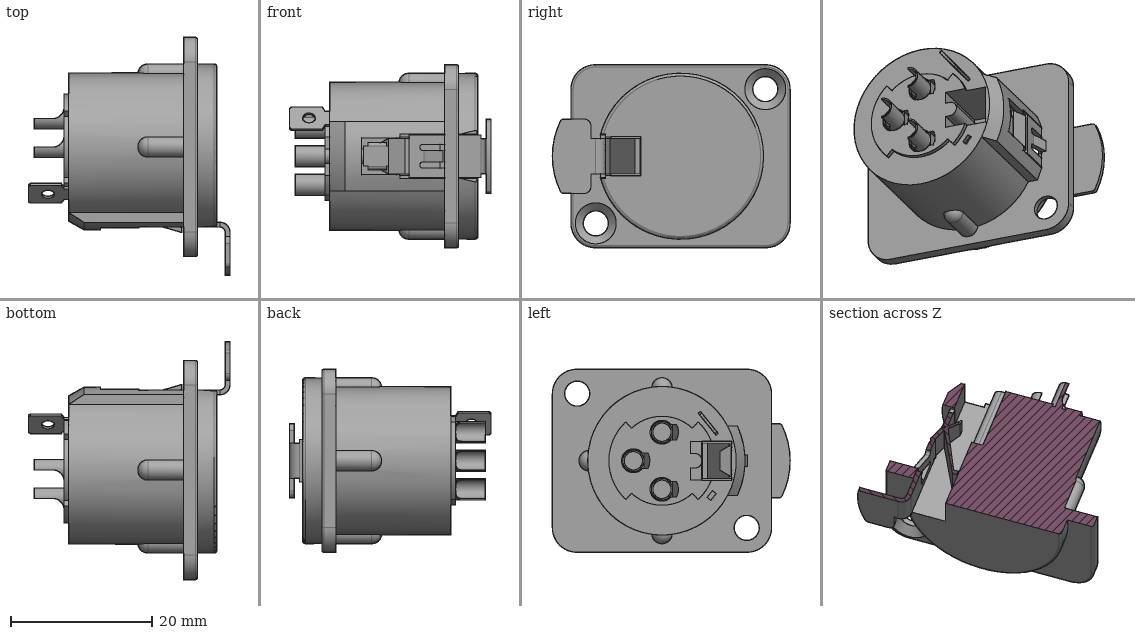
import cadquery as cq
import math


plate_width = 31.05
plate_height = 25.93
plate_thickness = 2.0
plate_corner_radius = 3.5
plate_edge_radius = 0.35
screw_hole_diameter = 3.5
screw_head_diameter = 5.8
screw_sink_angle = 90
screw_hole_y = 12.0
screw_hole_z = 9.5

barrel_radius = 10.5
barrel_length = 16.25
bezel_radius = 11.75
bezel_end = 4.7
bezel_edge_radius = 0.4

rib_radius = 1.45
rib_length = 5.05
rib_angles = (0, 90, 270)

block_half_width = 4.95
block_chamfer_length = 2.15
block_chamfer_depth = bezel_radius - barrel_radius

insert_height = 0.67
insert_back = -barrel_length - insert_height
insert_small_radius = 6.3
insert_large_radius = 7.5
insert_lobe_half_angle = 47

cup_circle_radius = 4.05
cup_angles = (0, 90, 270)
cup_end = -21.15
cup_radius = 1.5
cup_bore_radius = 2.6 / 2
cup_bore_depth = 6.75
cup_scoop_radius = 1.55
cup_clearance_radius = 1.7
cup_clearance_depth = 0.35
key_half_width = 1.08
key_reach = 2.32
key_depth = 2.02

lug_angle = 39
lug_inner_radius = 8.2
lug_thickness = 0.4
lug_width = 4.0
lug_end = -21.95
lug_shoulder = -16.9
lug_neck_width = 2.42
lug_corner = 0.3
lug_shoulder_chamfer = 0.4
lug_hole_diameter = 1.8
lug_hole_x = -19.2
lug_embed = 1.7
spare_pocket_depth = 0.67
spare_pocket_thickness = 0.67

sheet = 0.7
blade_outer_y = -11.35
blade_inner_y = blade_outer_y + sheet
blade_half_width = 3.03
blade_start = -5.0
blade_end = 5.15
neck_half_width = 2.5
latch_end = 6.55
bend_outer_radius = latch_end - blade_end
bend_inner_radius = bend_outer_radius - sheet

tab_half_width = 5.25
tab_inner_y = -12.65
tab_outer_y = -18.15
tab_crown = 1.28
tab_inner_corner = 0.98
tab_outer_corner = 0.5

tongue_half_width = 0.8
tongue_root = -2.9
tongue_tip = -0.25
tongue_rise = 0.77
tongue_slot_width = 0.88
tongue_slot_start = -3.5
tongue_slot_end = 0.5

arm_half_width = 2.53
arm_peak_x = -5.62
arm_end_x = -7.95
arm_outer_y = -10.55
arm_root_drop = 0.25
tail_half_width = 1.4
tail_end = -11.48
tail_outer_y = -10.45
tail_lip_half_width = 1.92
tail_lip_start = -8.2
tail_lip_end = -10.85
tail_lip_radius = 0.47

barb_root_x = arm_end_x
barb_crest_x = -1.35
barb_crest_y = -6.43
barb_lip_y = -5.72

flap_tip_x = -10.1
flap_tip_y = -8.2
flap_tip_half_width = 1.3

cavity_half_width = 2.73
cavity_inner_y = -4.0
cavity_outer_y = -9.85
cavity_depth = 10.1
passage_inner_y = -5.65
post_half_width = 1.05
post_tip_y = -5.65
window_start = -11.75
window_half_width = 2.6
blade_slot_start = -6.33
blade_slot_half_width = 3.15
bezel_flat_drop = 0.2


def x_cylinder(radius, x_start, x_end, y=0, z=0):
    """Solid cylinder along X."""
    return cq.Workplane("YZ", origin=(x_start, y, z)).circle(radius).extrude(x_end - x_start)


def block(x_start, x_end, y_start, y_end, half_width):
    """Box centred on z = 0."""
    return cq.Workplane("XY").box(x_end - x_start, y_end - y_start, 2 * half_width).translate(
        ((x_start + x_end) / 2, (y_start + y_end) / 2, 0)
    )


def profile(points, half_width):
    """XY outline extruded both ways about z = 0."""
    return cq.Workplane("XY").polyline(points).close().extrude(half_width, both=True)


def spin(body, angle):
    """Turn a body about the socket axis."""
    return body.rotate((0, 0, 0), (1, 0, 0), angle)


def make_plate():
    plate = cq.Workplane("YZ").rect(plate_width, plate_height).extrude(plate_thickness)
    plate = plate.edges("|X").fillet(plate_corner_radius)
    plate = plate.faces(">X").edges().fillet(plate_edge_radius)
    return (
        plate.faces(">X")
        .workplane(origin=(plate_thickness, 0, 0))
        .pushPoints([(screw_hole_y, screw_hole_z), (-screw_hole_y, -screw_hole_z)])
        .cskHole(screw_hole_diameter, screw_head_diameter, screw_sink_angle)
    )


def make_bezel():
    bezel = x_cylinder(bezel_radius, plate_thickness, bezel_end)
    return bezel.faces(">X").edges().fillet(bezel_edge_radius)


def make_rib():
    """Rib on the +Y side, ending in a ball."""
    rib_y = bezel_radius - rib_radius
    nose = cq.Workplane("XY").sphere(rib_radius).translate((-rib_length, rib_y, 0))
    return x_cylinder(rib_radius, -rib_length, 0, rib_y).union(nose)


def make_latch_block():
    """Raised block concentric with the barrel, its rear end turned to a cone."""
    chamfer_end = -barrel_length + block_chamfer_length
    turned = (
        cq.Workplane("XY")
        .polyline([
            (-barrel_length, 0),
            (-barrel_length, bezel_radius - block_chamfer_depth),
            (chamfer_end, bezel_radius),
            (0, bezel_radius),
            (0, 0),
        ])
        .close()
        .revolve(360, (0, 0, 0), (1, 0, 0))
    )
    return turned.intersect(block(-barrel_length, 0, -bezel_radius, 0, block_half_width))


def make_insert():
    """Raised insert: a disc with a wider lobe on the +Y and on the -Y side."""
    reach = 2 * insert_large_radius
    rise = reach * math.tan(math.radians(insert_lobe_half_angle))
    lobe_sectors = (
        cq.Workplane("YZ", origin=(insert_back, 0, 0))
        .polyline([(0, 0), (reach, -rise), (reach, rise)]).close()
        .polyline([(0, 0), (-reach, rise), (-reach, -rise)]).close()
        .extrude(insert_height)
    )
    lobes = x_cylinder(insert_large_radius, insert_back, -barrel_length).intersect(lobe_sectors)
    return x_cylinder(insert_small_radius, insert_back, -barrel_length).union(lobes)


def cup_centre(angle):
    return (
        cup_circle_radius * math.cos(math.radians(angle)),
        cup_circle_radius * math.sin(math.radians(angle)),
    )


def make_cup_recess(y, z):
    """Clearance ring around a contact with a keyway on its -Y side whose floor slopes deeper toward the contact."""
    ring = x_cylinder(cup_clearance_radius, insert_back, insert_back + cup_clearance_depth, y, z)
    keyway = profile(
        [
            (insert_back, 0),
            (insert_back + cup_clearance_depth, 0),
            (insert_back + cup_clearance_depth, -cup_radius),
            (insert_back + key_depth, -cup_radius),
            (insert_back, -key_reach),
        ],
        key_half_width,
    )
    keyway = keyway.intersect(x_cylinder(key_reach, insert_back, insert_back + key_depth))
    return ring.union(keyway.translate((0, y, z)))


def make_cup(y, z):
    """Solder cup with its +Y half scooped away."""
    cup = x_cylinder(cup_radius, cup_end, insert_back + cup_clearance_depth, y, z)
    scoop_start = insert_back - cup_scoop_radius
    corner = cup_scoop_radius * (1 - math.sqrt(0.5))
    scoop = (
        cq.Workplane("XY", origin=(0, y, z))
        .moveTo(cup_end, 0)
        .lineTo(scoop_start, 0)
        .threePointArc((insert_back - corner, corner), (insert_back, cup_scoop_radius))
        .lineTo(cup_end, cup_scoop_radius)
        .close()
        .extrude(cup_radius, both=True)
    )
    return cup.cut(scoop)


def make_cup_bore(y, z):
    return x_cylinder(cup_bore_radius, cup_end, cup_end + cup_bore_depth, y, z)


def make_lug():
    """Earth lug: a tangential plate with a narrowed neck that enters the barrel."""
    half_width = lug_width / 2
    half_neck = lug_neck_width / 2
    lug = (
        cq.Workplane("XZ", origin=(0, -lug_inner_radius, 0))
        .polyline([
            (lug_end, lug_corner - half_width),
            (lug_end + lug_corner, -half_width),
            (lug_shoulder - lug_shoulder_chamfer, -half_width),
            (lug_shoulder, -half_neck),
            (lug_embed - barrel_length, -half_neck),
            (lug_embed - barrel_length, half_neck),
            (lug_shoulder, half_neck),
            (lug_shoulder - lug_shoulder_chamfer, half_width),
            (lug_end + lug_corner, half_width),
            (lug_end, half_width - lug_corner),
        ])
        .close()
        .moveTo(lug_hole_x, 0)
        .circle(lug_hole_diameter / 2)
        .extrude(lug_thickness)
    )
    return spin(lug, -lug_angle)


def make_spare_lug_pocket():
    """Shallow pocket at the mirrored lug position on the -Z side."""
    pocket = cq.Workplane("XY").box(
        spare_pocket_depth, spare_pocket_thickness, lug_neck_width / 2, centered=False
    )
    pocket = pocket.translate((-barrel_length, -lug_inner_radius - spare_pocket_thickness, 0))
    return spin(pocket, lug_angle)


def make_rear_cavity():
    """Slot from the rear face, leaving a round-ended post standing at its inner side."""
    cavity_end = insert_back + cavity_depth
    cavity = block(insert_back, cavity_end, cavity_outer_y, cavity_inner_y, cavity_half_width)
    post_centre_y = post_tip_y + post_half_width
    post = block(insert_back, cavity_end, post_centre_y, cavity_inner_y, post_half_width)
    post = post.union(x_cylinder(post_half_width, insert_back, cavity_end, post_centre_y))
    return cavity.cut(post)


def make_latch_passage():
    """Openings that hold the latch: inner passage, outer window, blade slot and bezel flat."""
    passage = block(window_start, bezel_end, blade_inner_y, passage_inner_y, cavity_half_width)
    window = block(window_start, blade_slot_start, -bezel_radius, blade_inner_y, window_half_width)
    open_slot = block(blade_slot_start, 0, -bezel_radius, blade_inner_y, blade_slot_half_width)
    through_slot = block(0, bezel_end, blade_outer_y, blade_inner_y, blade_slot_half_width)
    flat = profile(
        [
            (plate_thickness, blade_outer_y),
            (bezel_end, blade_outer_y + bezel_flat_drop),
            (bezel_end, -bezel_radius),
            (plate_thickness, -bezel_radius),
        ],
        block_half_width,
    )
    return passage.union(window).union(open_slot).union(through_slot).union(flat)


def make_housing():
    housing = make_plate().union(x_cylinder(barrel_radius, -barrel_length, 0)).union(make_bezel())
    for angle in rib_angles:
        housing = housing.union(spin(make_rib(), angle))
    housing = housing.union(make_latch_block()).union(make_insert())
    housing = housing.cut(make_rear_cavity()).cut(make_latch_passage()).cut(make_spare_lug_pocket())
    for angle in cup_angles:
        y, z = cup_centre(angle)
        housing = housing.cut(make_cup_recess(y, z)).union(make_cup(y, z)).cut(make_cup_bore(y, z))
    return housing.union(make_lug())


def make_blade():
    """Flat blade with two slots that free the retaining tongue."""
    blade = block(blade_start, blade_end, blade_outer_y, blade_inner_y, blade_half_width)
    slot_length = tongue_slot_end - tongue_slot_start
    for side in (1, -1):
        slot = (
            cq.Workplane("XZ", origin=(0, blade_inner_y, 0))
            .center(tongue_slot_start + slot_length / 2, side * (tongue_half_width + tongue_slot_width / 2))
            .slot2D(slot_length, tongue_slot_width)
            .extrude(sheet)
        )
        blade = blade.cut(slot)
    blade = blade.cut(block(tongue_root, tongue_slot_end, blade_outer_y, blade_inner_y, tongue_half_width))
    tongue = profile(
        [
            (tongue_root, blade_outer_y),
            (tongue_tip, blade_outer_y - tongue_rise),
            (tongue_tip, blade_inner_y - tongue_rise),
            (tongue_root, blade_inner_y),
        ],
        tongue_half_width,
    )
    return blade.union(tongue)


def make_neck():
    """Quarter bend from the blade and the straight run down to the push tab."""
    centre_y = blade_outer_y + sheet - bend_outer_radius
    diagonal = math.sqrt(0.5)
    return (
        cq.Workplane("XY")
        .moveTo(blade_end, blade_inner_y)
        .threePointArc(
            (blade_end + bend_outer_radius * diagonal, centre_y + bend_outer_radius * diagonal),
            (latch_end, centre_y),
        )
        .lineTo(latch_end, tab_inner_y)
        .lineTo(latch_end - sheet, tab_inner_y)
        .lineTo(latch_end - sheet, centre_y)
        .threePointArc(
            (blade_end + bend_inner_radius * diagonal, centre_y + bend_inner_radius * diagonal),
            (blade_end, blade_outer_y),
        )
        .close()
        .extrude(neck_half_width, both=True)
    )


def make_tab():
    """Push tab with rounded corners and a crowned outer edge."""
    shoulder_y = tab_outer_y + tab_crown
    tab = (
        cq.Workplane("YZ", origin=(latch_end - sheet, 0, 0))
        .moveTo(tab_inner_y, -tab_half_width)
        .lineTo(tab_inner_y, tab_half_width)
        .lineTo(shoulder_y, tab_half_width)
        .threePointArc((tab_outer_y, 0), (shoulder_y, -tab_half_width))
        .close()
        .extrude(sheet)
    )
    tab = tab.edges("|X and >Y").fillet(tab_inner_corner)
    corners = tab.edges("|X").edges(cq.selectors.BoxSelector(
        (latch_end - 2 * sheet, shoulder_y - 0.35, -tab_half_width - 0.35),
        (latch_end + sheet, shoulder_y + 0.35, tab_half_width + 0.35),
    ))
    return corners.fillet(tab_outer_corner)


def make_arm():
    """Arm that slopes inward behind the blade and carries a narrow tail with rolled sides."""
    slope = profile(
        [
            (blade_start, blade_outer_y + arm_root_drop),
            (arm_peak_x, blade_outer_y),
            (arm_end_x, arm_outer_y),
            (arm_end_x, arm_outer_y + sheet),
            (arm_peak_x, blade_inner_y),
            (blade_start, blade_inner_y),
        ],
        arm_half_width,
    )
    tail = block(tail_end, arm_end_x, tail_outer_y, tail_outer_y + sheet, tail_half_width)
    lips = block(tail_lip_end, tail_lip_start, tail_outer_y, tail_outer_y + sheet, tail_lip_half_width)
    lips = lips.edges("|X and <Y").fillet(tail_lip_radius)
    return slope.union(tail).union(lips)


def make_barb():
    """Locking barb: a ramp rising inward and forward from the arm, ending in a square lip."""
    root_y = arm_outer_y + sheet / 2
    return profile(
        [
            (barb_root_x, root_y),
            (barb_root_x, root_y + sheet),
            (barb_crest_x, barb_crest_y),
            (barb_crest_x, barb_lip_y),
            (barb_crest_x + sheet, barb_lip_y),
            (barb_crest_x + sheet, barb_crest_y),
        ],
        arm_half_width,
    )


def make_flap():
    """Flap sloping inward and rearward from the arm's end, tapering to its tip."""
    root_y = arm_outer_y + sheet / 2
    slope = profile(
        [
            (arm_end_x, root_y),
            (flap_tip_x, flap_tip_y),
            (flap_tip_x + sheet, flap_tip_y),
            (arm_end_x + sheet, root_y),
        ],
        arm_half_width,
    )
    taper = (
        cq.Workplane("YZ", origin=(flap_tip_x, 0, 0))
        .polyline([
            (root_y, -arm_half_width),
            (root_y, arm_half_width),
            (flap_tip_y, flap_tip_half_width),
            (flap_tip_y, -flap_tip_half_width),
        ])
        .close()
        .extrude(arm_end_x + sheet - flap_tip_x)
    )
    return slope.intersect(taper)


def make_latch():
    return make_blade().union(make_neck()).union(make_tab()).union(make_arm()).union(make_flap()).union(make_barb())


housing = make_housing()
latch = make_latch()

result = cq.Compound.makeCompound([housing.val(), latch.val()])